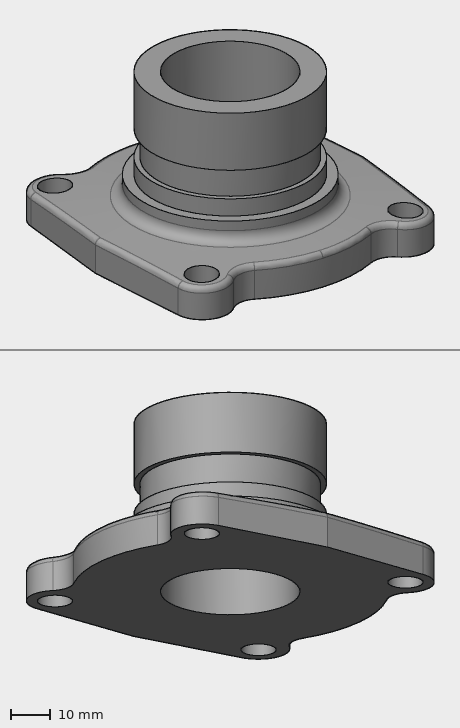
import cadquery as cq
import math

FLANGE_RADIUS = 39.69
APEX_Y = 41.57
BOLT_CIRCLE_RADIUS = 44.45
BOLT_OFFSET = BOLT_CIRCLE_RADIUS / math.sqrt(2)
BOLT_HOLE_DIAMETER = 8.8
EDGE_SLOPE = math.radians(5)
EAR_RADIUS = 7.94
EAR_OFFSET = (APEX_Y - EAR_RADIUS / math.cos(EDGE_SLOPE)) / (1 + math.tan(EDGE_SLOPE))
WAIST_RADIUS = 6.35

RIM_HEIGHT = 9.525
TOP_SLOPE = math.radians(3)
RIM_FILLET = 1.59

TOTAL_HEIGHT = 44.45
BORE_DIAMETER = 34.92
NECK_RADIUS = 24.13
GROOVE_RADIUS = 22.62
GROOVE_BOTTOM = 20.64
GROOVE_TOP = 28.575
SHOULDER_RADIUS = 27.04
SHOULDER_HEIGHT = 15.875
NECK_FILLET = 3.175


def cone_height(radius):
    """Height of the conical flange top at a distance from the neck axis."""
    return RIM_HEIGHT - (radius - FLANGE_RADIUS) * math.tan(TOP_SLOPE)


def polar(center, radius, angle):
    """Point at a distance and angle from a centre."""
    return (center[0] + radius * math.cos(angle), center[1] + radius * math.sin(angle))


def quarter_points():
    """Tangent and mid-arc points of the +X +Y outline quarter, from the apex to the round side."""
    ear = (EAR_OFFSET, EAR_OFFSET)
    ear_distance = math.hypot(*ear)
    ear_start_angle = math.pi / 2 - EDGE_SLOPE

    side_reach = FLANGE_RADIUS + WAIST_RADIUS
    ear_reach = EAR_RADIUS + WAIST_RADIUS
    cosine = (ear_distance**2 + side_reach**2 - ear_reach**2) / (2 * ear_distance * side_reach)
    side_angle = math.pi / 4 - math.acos(cosine)
    waist = polar((0, 0), side_reach, side_angle)
    ear_end_angle = math.atan2(waist[1] - ear[1], waist[0] - ear[0])
    waist_start_angle = ear_end_angle + math.pi
    waist_end_angle = side_angle + math.pi

    return {
        "ear_start": polar(ear, EAR_RADIUS, ear_start_angle),
        "ear_mid": polar(ear, EAR_RADIUS, (ear_start_angle + ear_end_angle) / 2),
        "ear_end": polar(ear, EAR_RADIUS, ear_end_angle),
        "waist_mid": polar(waist, WAIST_RADIUS, (waist_start_angle + waist_end_angle) / 2),
        "side_start": polar((0, 0), FLANGE_RADIUS, side_angle),
    }


def flange_outline():
    """Closed outline, drawn clockwise from the +Y apex."""
    points = quarter_points()

    def at(name, x_sign, y_sign):
        x, y = points[name]
        return (x_sign * x, y_sign * y)

    outline = cq.Workplane("XY").moveTo(0, APEX_Y)
    for sign in (1, -1):
        outline = (
            outline
            .lineTo(*at("ear_start", sign, sign))
            .threePointArc(at("ear_mid", sign, sign), at("ear_end", sign, sign))
            .threePointArc(at("waist_mid", sign, sign), at("side_start", sign, sign))
            .threePointArc((sign * FLANGE_RADIUS, 0), at("side_start", sign, -sign))
            .threePointArc(at("waist_mid", sign, -sign), at("ear_end", sign, -sign))
            .threePointArc(at("ear_mid", sign, -sign), at("ear_start", sign, -sign))
            .lineTo(0, -sign * APEX_Y)
        )
    return outline.close()


def revolve_about_z(profile):
    """Full turn of an XZ profile about the Z axis."""
    return profile.close().revolve(360, (0, 0, 0), (0, 1, 0))


def make_flange():
    """Plate with a conical top and a rounded top rim."""
    cone_reach = 2 * FLANGE_RADIUS
    cone = revolve_about_z(
        cq.Workplane("XZ")
        .lineTo(cone_reach, 0)
        .lineTo(cone_reach, cone_height(cone_reach))
        .lineTo(0, cone_height(0))
    )
    plate = flange_outline().extrude(TOTAL_HEIGHT).intersect(cone)
    return plate.faces(">Z").edges().fillet(RIM_FILLET)


def make_neck():
    """Stepped, grooved neck whose foot blends into the conical flange top."""
    blend_x = SHOULDER_RADIUS + NECK_FILLET
    blend_z = cone_height(blend_x) + NECK_FILLET / math.cos(TOP_SLOPE)
    foot_angle = -math.pi / 2 - TOP_SLOPE
    foot = polar((blend_x, blend_z), NECK_FILLET, foot_angle)
    blend_mid = polar((blend_x, blend_z), NECK_FILLET, (foot_angle - math.pi) / 2)
    return revolve_about_z(
        cq.Workplane("XZ")
        .lineTo(foot[0], 0)
        .lineTo(*foot)
        .threePointArc(blend_mid, (SHOULDER_RADIUS, blend_z))
        .lineTo(SHOULDER_RADIUS, SHOULDER_HEIGHT)
        .lineTo(NECK_RADIUS, SHOULDER_HEIGHT)
        .lineTo(NECK_RADIUS, GROOVE_BOTTOM)
        .lineTo(GROOVE_RADIUS, GROOVE_BOTTOM)
        .lineTo(GROOVE_RADIUS, GROOVE_TOP)
        .lineTo(NECK_RADIUS, GROOVE_TOP)
        .lineTo(NECK_RADIUS, TOTAL_HEIGHT)
        .lineTo(0, TOTAL_HEIGHT)
    )


def make_bore():
    """Straight passage through the neck and flange."""
    return cq.Workplane("XY").circle(BORE_DIAMETER / 2).extrude(TOTAL_HEIGHT)


def make_bolt_holes():
    """Four through holes on the bolt circle, one per ear."""
    return (
        cq.Workplane("XY")
        .rect(2 * BOLT_OFFSET, 2 * BOLT_OFFSET, forConstruction=True)
        .vertices()
        .circle(BOLT_HOLE_DIAMETER / 2)
        .extrude(TOTAL_HEIGHT)
    )


result = make_flange().union(make_neck()).cut(make_bore()).cut(make_bolt_holes())